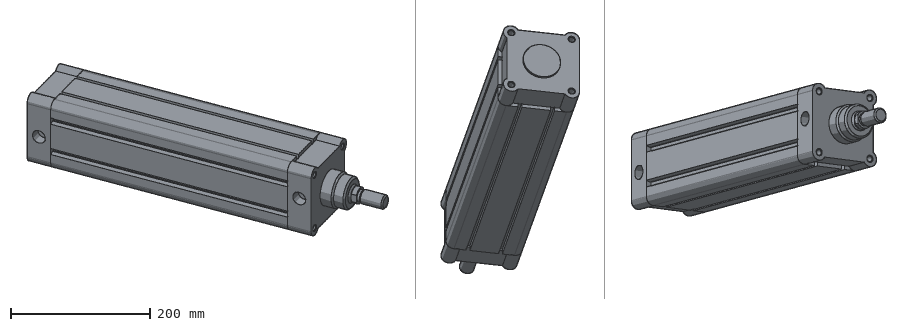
import cadquery as cq
import math

WIDTH = 111.5
HEIGHT = 112.0
CORNER_RADIUS = 11.5

SPIGOT_LENGTH = 3.5
CAP_LENGTH = 38.0
TUBE_LENGTH = 381.5
NOSE_LENGTH = 38.0
WIPER_LENGTH = 3.5
OVERALL_LENGTH = 553.0

REAR_CAP_X = SPIGOT_LENGTH
TUBE_X = REAR_CAP_X + CAP_LENGTH
FRONT_CAP_X = TUBE_X + TUBE_LENGTH
NOSE_X = FRONT_CAP_X + CAP_LENGTH
WIPER_X = NOSE_X + NOSE_LENGTH
ROD_X = WIPER_X + WIPER_LENGTH

RECESS_DEPTH = 5.5
SPIGOT_DIAMETER = 55.0
SCREW_HOLE_DIAMETER = 8.5
SCREW_HOLE_DEPTH = 16.5
SCREW_HOLE_CHAMFER = 1.0
PORT_DIAMETER = 20.5
PORT_DEPTH = 16.5
PORT_OFFSET = 6.0

COLLAR_DIAMETER = 50.0
COLLAR_LENGTH = 17.5
SHOULDER_LENGTH = 3.0
COLLAR_CHAMFER = 3.0
WIPER_BASE_DIAMETER = 29.0
WIPER_TIP_DIAMETER = 22.0

ROD_DIAMETER = 25.5
FLAT_WIDTH = 22.0
FLAT_LENGTH = 9.0
NECK_DIAMETER = 19.0
NECK_LENGTH = 4.0
THREAD_DIAMETER = 21.5
THREAD_CHAMFER = 2.0

GROOVE_INNER = 21.0
GROOVE_WIDTH = 5.5
GROOVE_DEPTH = 8.5
FLARED_GROOVE_INNER = 22.5
FLARE_WIDTH = 2.0
FLARE_DEPTH = 6.0

CORNER_Y = WIDTH / 2 - CORNER_RADIUS
CORNER_Z = HEIGHT / 2 - CORNER_RADIUS
CORNERS = [(y, z) for y in (-CORNER_Y, CORNER_Y) for z in (-CORNER_Z, CORNER_Z)]


def section_plane(x):
    """Plane across the axis at x, drawn in (Y, Z) and extruded toward +X."""
    return cq.Workplane("YZ", origin=(x, 0, 0))


def rounded_block(x, length):
    block = section_plane(x).rect(WIDTH, HEIGHT).extrude(length)
    return block.edges("|X").fillet(CORNER_RADIUS)


def cap_outline(plane):
    """Outline with the -Y side flat and the other three sides recessed between round corner posts."""
    recess_y = WIDTH / 2 - RECESS_DEPTH
    recess_z = HEIGHT / 2 - RECESS_DEPTH
    reach = math.sqrt(CORNER_RADIUS**2 - (CORNER_RADIUS - RECESS_DEPTH) ** 2)
    diagonal = CORNER_RADIUS / math.sqrt(2)
    return (
        plane.moveTo(-WIDTH / 2, -CORNER_Z)
        .lineTo(-WIDTH / 2, CORNER_Z)
        .threePointArc((-CORNER_Y, HEIGHT / 2), (reach - CORNER_Y, recess_z))
        .lineTo(CORNER_Y - reach, recess_z)
        .threePointArc((CORNER_Y + diagonal, CORNER_Z + diagonal), (recess_y, CORNER_Z - reach))
        .lineTo(recess_y, reach - CORNER_Z)
        .threePointArc((CORNER_Y + diagonal, -CORNER_Z - diagonal), (CORNER_Y - reach, -recess_z))
        .lineTo(reach - CORNER_Y, -recess_z)
        .threePointArc((-CORNER_Y, -HEIGHT / 2), (-WIDTH / 2, -CORNER_Z))
        .close()
    )


def make_cap(x, screw_face_x, inward, port_z):
    """Square cap with three recessed sides between round corner posts, and a port in the -Y side."""
    cap = cap_outline(section_plane(x)).extrude(CAP_LENGTH)

    port = (
        cq.Workplane("XZ", origin=(x + CAP_LENGTH / 2, -WIDTH / 2, port_z))
        .circle(PORT_DIAMETER / 2)
        .extrude(-PORT_DEPTH)
    )
    cap = cap.cut(port)

    mouth_radius = SCREW_HOLE_DIAMETER / 2 + SCREW_HOLE_CHAMFER
    for y, z in CORNERS:
        mouth = cq.Vector(screw_face_x, y, z)
        axis = cq.Vector(inward, 0, 0)
        bore = cq.Solid.makeCylinder(SCREW_HOLE_DIAMETER / 2, SCREW_HOLE_DEPTH, mouth, axis)
        countersink = cq.Solid.makeCone(mouth_radius, SCREW_HOLE_DIAMETER / 2, SCREW_HOLE_CHAMFER, mouth, axis)
        cap = cap.cut(cq.Workplane(bore)).cut(cq.Workplane(countersink))
    return cap


def make_rear_cap():
    spigot = section_plane(0).circle(SPIGOT_DIAMETER / 2).extrude(SPIGOT_LENGTH)
    return make_cap(REAR_CAP_X, REAR_CAP_X, 1, -PORT_OFFSET).union(spigot)


def make_nose():
    """Turned nose: spigot, sloping shoulder, chamfered collar and wiper cone."""
    spigot_radius = SPIGOT_DIAMETER / 2
    collar_radius = COLLAR_DIAMETER / 2
    collar_x = WIPER_X - COLLAR_LENGTH
    return (
        cq.Workplane("XZ")
        .moveTo(NOSE_X, 0)
        .lineTo(NOSE_X, spigot_radius)
        .lineTo(collar_x - SHOULDER_LENGTH, spigot_radius)
        .lineTo(collar_x, collar_radius)
        .lineTo(WIPER_X - COLLAR_CHAMFER, collar_radius)
        .lineTo(WIPER_X, collar_radius - COLLAR_CHAMFER)
        .lineTo(WIPER_X, WIPER_BASE_DIAMETER / 2)
        .lineTo(ROD_X, WIPER_TIP_DIAMETER / 2)
        .lineTo(ROD_X, 0)
        .close()
        .revolve(360, (0, 0, 0), (1, 0, 0))
    )


def make_front_cap():
    return make_cap(FRONT_CAP_X, NOSE_X, -1, PORT_OFFSET).union(make_nose())


def cut_mirrored(tube, outline, angle):
    """Cut an outline of the +Z face and its mirror image along the tube, turned by angle about X."""
    cutter = section_plane(TUBE_X).polyline(outline).close().extrude(TUBE_LENGTH)
    for groove in (cutter, cutter.mirror("XZ")):
        tube = tube.cut(groove.rotate((0, 0, 0), (1, 0, 0), angle))
    return tube


def straight_groove(inner, face_distance):
    outer = inner + GROOVE_WIDTH
    floor = face_distance - GROOVE_DEPTH
    return [(inner, floor), (outer, floor), (outer, face_distance), (inner, face_distance)]


def flared_groove(inner, face_distance):
    """Groove whose walls slope outward above a short straight throat."""
    outer = inner + GROOVE_WIDTH
    floor = face_distance - GROOVE_DEPTH
    throat = face_distance - FLARE_DEPTH
    return [
        (inner, floor),
        (outer, floor),
        (outer, throat),
        (outer + FLARE_WIDTH, face_distance),
        (inner - FLARE_WIDTH, face_distance),
        (inner, throat),
    ]


def make_tube():
    """Barrel with two grooves along each side, flared only in the -Y side."""
    tube = rounded_block(TUBE_X, TUBE_LENGTH)
    for angle in (0, 180):
        tube = cut_mirrored(tube, straight_groove(GROOVE_INNER, HEIGHT / 2), angle)
    tube = cut_mirrored(tube, straight_groove(GROOVE_INNER, WIDTH / 2), -90)
    return cut_mirrored(tube, flared_groove(FLARED_GROOVE_INNER, WIDTH / 2), 90)


def make_rod():
    """Piston rod end: wrench-flat length, undercut neck and chamfered thread."""
    neck_x = ROD_X + FLAT_LENGTH
    thread_x = neck_x + NECK_LENGTH
    thread_radius = THREAD_DIAMETER / 2
    rod = (
        cq.Workplane("XY")
        .moveTo(ROD_X, 0)
        .lineTo(ROD_X, -ROD_DIAMETER / 2)
        .lineTo(neck_x, -ROD_DIAMETER / 2)
        .lineTo(neck_x, -NECK_DIAMETER / 2)
        .lineTo(thread_x, -NECK_DIAMETER / 2)
        .lineTo(thread_x + THREAD_CHAMFER, -thread_radius)
        .lineTo(OVERALL_LENGTH - THREAD_CHAMFER, -thread_radius)
        .lineTo(OVERALL_LENGTH, THREAD_CHAMFER - thread_radius)
        .lineTo(OVERALL_LENGTH, 0)
        .close()
        .revolve(360, (0, 0, 0), (1, 0, 0))
    )
    flats = section_plane(ROD_X).rect(FLAT_WIDTH, ROD_DIAMETER).extrude(OVERALL_LENGTH - ROD_X)
    return rod.intersect(flats)


result = cq.Compound.makeCompound(
    [make_rear_cap().val(), make_tube().val(), make_front_cap().val(), make_rod().val()]
)